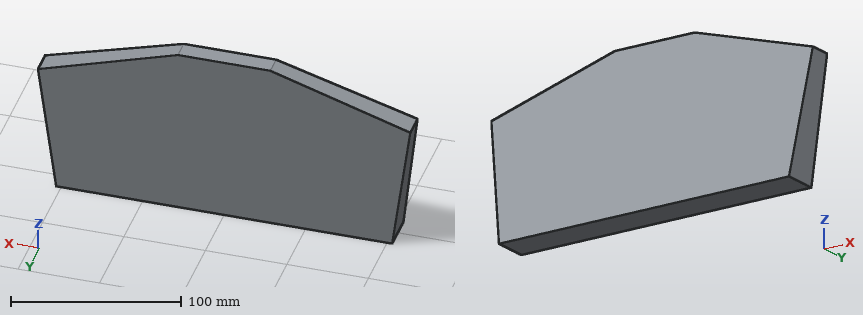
import cadquery as cq

width = 228.6
height = 108.8
shoulder_height = 81.6
base_width = 206.2
crown_width = 56.7
base_thickness = 23.5
top_thickness = 12.1

wedge = (
    cq.Workplane("YZ")
    .polyline([(0, 0), (-base_thickness, 0), (-top_thickness, height), (0, height)])
    .close()
    .extrude(width / 2, both=True)
)

right_side = [
    (base_width / 2, 0),
    (width / 2, shoulder_height),
    (crown_width / 2, height),
]
left_side = [(-x, z) for x, z in reversed(right_side)]
outline = (
    cq.Workplane("XZ")
    .polyline(right_side + left_side)
    .close()
    .extrude(base_thickness)
)

result = wedge.intersect(outline)